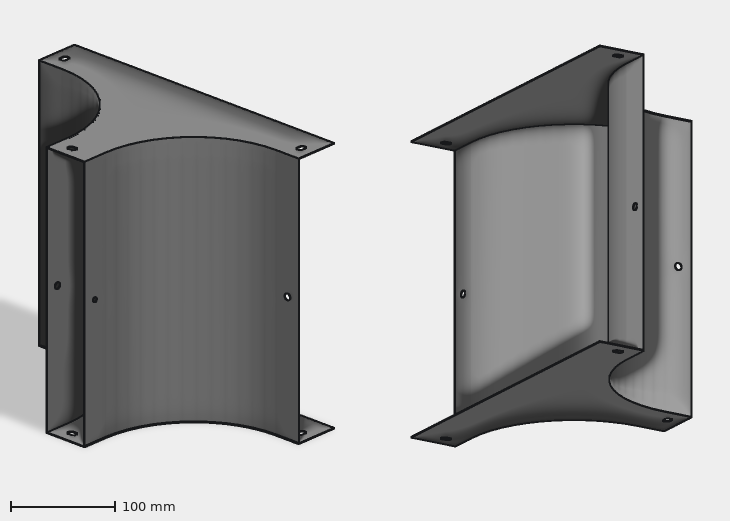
import cadquery as cq

length = 340.0
depth = 195.0
height = 300.0
sheet = 1.0
channel_width = 50.0
straight = 30.0

hole_diameter = 7.0
far_hole_diameter = 5.0
slot_width = 7.0
slot_length = 10.0
slot_corner_radius = 2.55
hole_inset = straight / 2
slot_offset = 5.0

back_y = depth / 2
wall_y = back_y - channel_width
front_y = -depth / 2
half_length = length / 2
half_branch = channel_width / 2
bend_start_x = half_length - straight
bend_end_y = front_y + straight
bend_radius_x = bend_start_x - half_branch
bend_radius_y = wall_y - bend_end_y
diagonal = 0.5 ** 0.5


def plate():
    """Tee-shaped plate lying on Z = 0, with concave bends into the branch."""
    bend_mid_x = bend_start_x - bend_radius_x * diagonal
    bend_mid_y = bend_end_y + bend_radius_y * diagonal
    return (
        cq.Workplane("XY")
        .moveTo(-half_length, back_y)
        .lineTo(-half_length, wall_y)
        .lineTo(-bend_start_x, wall_y)
        .threePointArc((-bend_mid_x, bend_mid_y), (-half_branch, bend_end_y))
        .lineTo(-half_branch, front_y)
        .lineTo(half_branch, front_y)
        .lineTo(half_branch, bend_end_y)
        .threePointArc((bend_mid_x, bend_mid_y), (bend_start_x, wall_y))
        .lineTo(half_length, wall_y)
        .lineTo(half_length, back_y)
        .close()
        .extrude(sheet)
    )


def curved_wall():
    """Full-height wall following the left-hand bend, sheet inside the outline."""
    inner_mid_x = bend_start_x - (bend_radius_x + sheet) * diagonal
    inner_mid_y = bend_end_y + (bend_radius_y + sheet) * diagonal
    outer_mid_x = bend_start_x - bend_radius_x * diagonal
    outer_mid_y = bend_end_y + bend_radius_y * diagonal
    inner_x = half_branch - sheet
    inner_y = wall_y + sheet
    return (
        cq.Workplane("XY")
        .moveTo(-half_length, wall_y)
        .lineTo(-bend_start_x, wall_y)
        .threePointArc((-outer_mid_x, outer_mid_y), (-half_branch, bend_end_y))
        .lineTo(-half_branch, front_y)
        .lineTo(-inner_x, front_y)
        .lineTo(-inner_x, bend_end_y)
        .threePointArc((-inner_mid_x, inner_mid_y), (-bend_start_x, inner_y))
        .lineTo(-half_length, inner_y)
        .close()
        .extrude(height)
    )


def plate_slots():
    """Round-cornered slots through both plates: one across each arm and one across the branch."""
    arm_x = half_length - hole_inset
    arm_y = back_y - half_branch - slot_offset
    arm_slots = (
        cq.Workplane("XY")
        .pushPoints([(-arm_x, arm_y), (arm_x, arm_y)])
        .rect(slot_width, slot_length)
        .extrude(height)
        .edges("|Z")
        .fillet(slot_corner_radius)
    )
    branch_slot = (
        cq.Workplane("XY")
        .center(-slot_offset, front_y + hole_inset)
        .rect(slot_length, slot_width)
        .extrude(height)
        .edges("|Z")
        .fillet(slot_corner_radius)
    )
    return arm_slots.union(branch_slot)


def wall_holes():
    """Round holes at mid-height in the arms and branch; the +X branch hole is smaller."""
    arm_x = half_length - hole_inset
    arm_holes = (
        cq.Workplane("XZ", origin=(0, back_y, 0))
        .pushPoints([(-arm_x, height / 2), (arm_x, height / 2)])
        .circle(hole_diameter / 2)
        .extrude(depth)
    )
    branch_centre = (front_y + hole_inset, height / 2)
    branch_plane = cq.Workplane("YZ").center(*branch_centre)
    near_hole = branch_plane.circle(hole_diameter / 2).extrude(-channel_width)
    far_hole = branch_plane.circle(far_hole_diameter / 2).extrude(channel_width)
    return arm_holes.union(near_hole).union(far_hole)


left_wall = curved_wall()
result = (
    plate()
    .union(plate().translate((0, 0, height - sheet)))
    .union(left_wall)
    .union(left_wall.mirror("YZ"))
    .cut(plate_slots())
    .cut(wall_holes())
    .translate((0, 0, -height / 2))
)